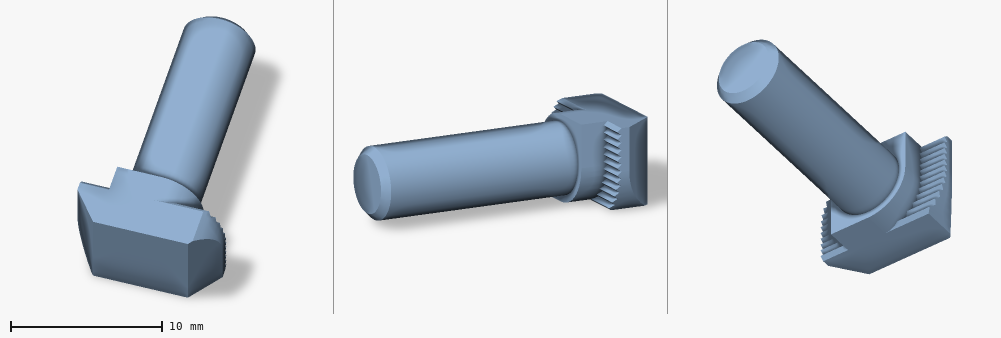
import cadquery as cq
import math

total_length = 19.2
head_width = 10.0
head_height = 6.0

base_width = 6.53
flank_length = 2.27
tooth_tip_y = 3.15
neck_end_y = 4.8
corner_radius = 3.75

tooth_count = 12
tooth_depth = 0.3
tooth_pitch = head_height / tooth_count

shank_radius = 2.5
tip_chamfer = 0.5

half_width = head_width / 2
half_height = head_height / 2


def extrude_along_y(outline, length):
    """Extrude an XZ outline from its workplane towards +Y."""
    return outline.extrude(-length)


def make_wedge():
    """Tapered head plan, extruded through the full height."""
    return (
        cq.Workplane("XY")
        .workplane(offset=-half_height)
        .moveTo(-base_width / 2, 0)
        .lineTo(base_width / 2, 0)
        .lineTo(half_width, flank_length)
        .lineTo(half_width, tooth_tip_y)
        .lineTo(-half_width, tooth_tip_y)
        .lineTo(-half_width, flank_length)
        .close()
        .extrude(head_height)
    )


def make_turning_envelope():
    """Head outline rounded on two opposite corners so it can turn in a slot."""
    arc_center_x = half_width - corner_radius
    arc_end_x = arc_center_x + math.sqrt(corner_radius**2 - half_height**2)
    arc_mid_angle = math.asin(half_height / corner_radius) / 2
    arc_mid_x = arc_center_x + corner_radius * math.cos(arc_mid_angle)
    arc_mid_z = corner_radius * math.sin(arc_mid_angle)
    outline = (
        cq.Workplane("XZ")
        .moveTo(half_width, -half_height)
        .lineTo(half_width, 0)
        .threePointArc((arc_mid_x, arc_mid_z), (arc_end_x, half_height))
        .lineTo(-half_width, half_height)
        .lineTo(-half_width, 0)
        .threePointArc((-arc_mid_x, -arc_mid_z), (-arc_end_x, -half_height))
        .close()
    )
    return extrude_along_y(outline, tooth_tip_y)


def make_serration_envelope():
    """Side profile with a row of V teeth whose ridges run along X."""
    valley_y = tooth_tip_y - tooth_depth
    outline = cq.Workplane("YZ").moveTo(0, -half_height).lineTo(valley_y, -half_height)
    for tooth in range(tooth_count):
        tooth_start_z = -half_height + tooth * tooth_pitch
        outline = outline.lineTo(tooth_tip_y, tooth_start_z + tooth_pitch / 2)
        outline = outline.lineTo(valley_y, tooth_start_z + tooth_pitch)
    outline = outline.lineTo(0, half_height).close()
    return outline.extrude(half_width, both=True)


def make_neck():
    """Neck with two square corners and two corners rounded about the axis."""
    rounded_offset = half_height * math.sqrt(0.5)
    outline = (
        cq.Workplane("XZ", origin=(0, flank_length, 0))
        .moveTo(0, half_height)
        .threePointArc((rounded_offset, rounded_offset), (half_height, 0))
        .lineTo(half_height, -half_height)
        .lineTo(0, -half_height)
        .threePointArc((-rounded_offset, -rounded_offset), (-half_height, 0))
        .lineTo(-half_height, half_height)
        .close()
    )
    return extrude_along_y(outline, neck_end_y - flank_length)


def make_shank():
    """Round shank from the neck end to its chamfered tip."""
    shank_length = total_length - neck_end_y
    shank = cq.Workplane("XZ", origin=(0, neck_end_y, 0)).circle(shank_radius)
    return extrude_along_y(shank, shank_length).faces(">Y").chamfer(tip_chamfer)


head = make_wedge().intersect(make_turning_envelope()).intersect(make_serration_envelope())
result = head.union(make_neck()).union(make_shank())